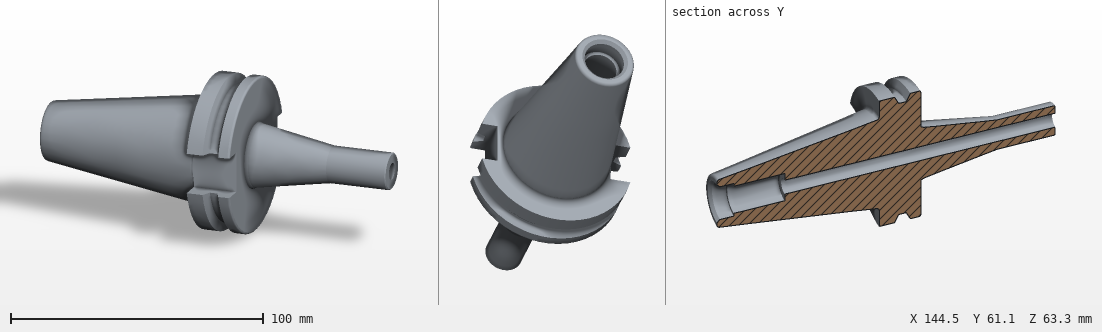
import cadquery as cq

total_length = 144.5

gauge_x = 67.8
gauge_radius = 44.5 / 2
small_end_radius = 12.0
small_end_fillet = 1.3

flange_start_x = 69.2
flange_end_x = 87.2
flange_radius = 63.3 / 2
flange_edge_fillet = 0.9
flange_root_fillet = 1.3

groove_start_x = 75.9
groove_floor_start_x = 77.6
groove_floor_end_x = 80.8
groove_end_x = 82.5
groove_floor_radius = 28.0

slot_width = 16.5
front_slot_floor = 22.4
back_slot_floor = 24.3

nose_root_radius = 13.5
nose_start_x = 88.5
nose_start_radius = 12.9
shank_start_x = 119.5
shank_radius = 15.0 / 2
shank_chamfer = 0.5

mouth_radius = 9.4
mouth_depth = 1.3
counterbore_radius = 16.2 / 2
counterbore_depth = 7.2
pilot_radius = 13.5 / 2
pilot_depth = 28.9
through_radius = 6.8 / 2


def revolve_about_x(profile):
    """Turn an (X, radius) profile into a solid of revolution about the X axis."""
    return profile.close().revolve(360, (0, 0, 0), (1, 0, 0))


def make_body():
    outline = (
        cq.Workplane("XY")
        .lineTo(0, small_end_radius)
        .lineTo(gauge_x, gauge_radius)
        .lineTo(flange_start_x - flange_root_fillet, gauge_radius)
        .radiusArc((flange_start_x, gauge_radius + flange_root_fillet), -flange_root_fillet)
        .lineTo(flange_start_x, flange_radius)
        .lineTo(groove_start_x, flange_radius)
        .lineTo(groove_floor_start_x, groove_floor_radius)
        .lineTo(groove_floor_end_x, groove_floor_radius)
        .lineTo(groove_end_x, flange_radius)
        .lineTo(flange_end_x - flange_edge_fillet, flange_radius)
        .radiusArc((flange_end_x, flange_radius - flange_edge_fillet), flange_edge_fillet)
        .lineTo(flange_end_x, nose_root_radius)
        .lineTo(nose_start_x, nose_start_radius)
        .lineTo(shank_start_x, shank_radius)
        .lineTo(total_length, shank_radius)
        .lineTo(total_length, 0)
    )
    body = revolve_about_x(outline)
    body = body.faces("<X").edges().fillet(small_end_fillet)
    return body.faces(">X").edges().chamfer(shank_chamfer)


def make_bore():
    outline = (
        cq.Workplane("XY")
        .lineTo(0, mouth_radius)
        .lineTo(mouth_depth, counterbore_radius)
        .lineTo(counterbore_depth, counterbore_radius)
        .lineTo(counterbore_depth, pilot_radius)
        .lineTo(pilot_depth, pilot_radius)
        .lineTo(pilot_depth, through_radius)
        .lineTo(total_length, through_radius)
        .lineTo(total_length, 0)
    )
    return revolve_about_x(outline)


def make_slot(floor_distance, side):
    """Cutter for a drive slot on the +Y (side = 1) or -Y (side = -1) flank, clearing the root fillet too."""
    slot_start_x = flange_start_x - flange_root_fillet
    slot_length = flange_end_x - slot_start_x
    slot_depth = flange_radius - floor_distance
    return cq.Workplane("XY").box(slot_length, slot_depth, slot_width).translate(
        (slot_start_x + slot_length / 2, side * (floor_distance + slot_depth / 2), 0)
    )


result = (
    make_body()
    .cut(make_bore())
    .cut(make_slot(front_slot_floor, -1))
    .cut(make_slot(back_slot_floor, 1))
)